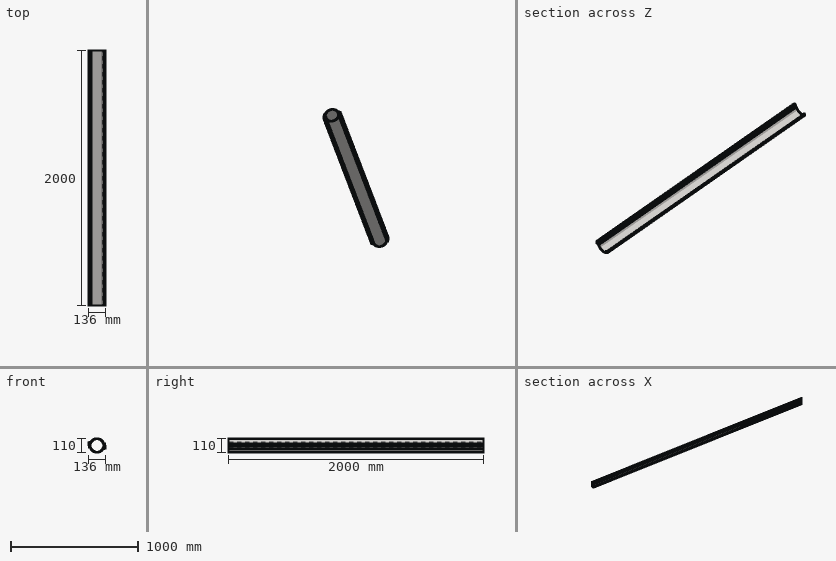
import cadquery as cq
import math

LENGTH = 2000.0
OUTER_RADIUS = 55.0
WALL = 4.0
INNER_RADIUS = OUTER_RADIUS - WALL
MIDDLE_RADIUS = OUTER_RADIUS - WALL / 2

HALF_WIDTH = 68.0

ROOF_SLOPE = 12.0
ROOF_OFFSET = 36.7
UNDERSIDE_OFFSET = ROOF_OFFSET - WALL
ROOF_ROOT_RADIUS = 3.5
SHOULDER_RADIUS = 7.0
HOOK_LIP_Z = 2.5

LEDGE_Z = 15.0
LEDGE_ROOT_RADIUS = 4.0
TONGUE_CORNER_RADIUS = 5.0
TONGUE_OUTER_X = HALF_WIDTH - WALL
TONGUE_INNER_X = TONGUE_OUTER_X - WALL
TONGUE_TIP_Z = -5.0

SEAM_INNER_ANGLE = 148.5


def polar(radius, angle):
    return (radius * math.cos(math.radians(angle)), radius * math.sin(math.radians(angle)))


def roof_line_angle(offset, radius):
    """Polar angle at which a line along the roof crosses a circle about the tube axis."""
    return 180 + ROOF_SLOPE - math.degrees(math.asin(offset / radius))


def roof_line_z(offset, x):
    """Height at x of a line along the roof that passes the tube axis at the given distance."""
    slope = math.radians(ROOF_SLOPE)
    return (offset + x * math.sin(slope)) / math.cos(slope)


SEAM_OUTER_ANGLE = roof_line_angle(UNDERSIDE_OFFSET, OUTER_RADIUS)


def extrude(outline):
    """Full-length solid, centred along Y, from an open outline."""
    return outline.close().extrude(LENGTH / 2, both=True)


def round_corner(body, corner, radius):
    """Round the lengthwise edge nearest to the corner (x, z)."""
    x, z = corner
    nearest = cq.selectors.NearestToPointSelector((x, 0, z))
    return body.edges("|Y").edges(nearest).fillet(radius)


def half_tube():
    """Half of the tube wall, from the +X seam over the top to the -X seam."""
    outer_end = SEAM_OUTER_ANGLE
    inner_end = SEAM_INNER_ANGLE
    outline = (
        cq.Workplane("XZ")
        .moveTo(*polar(OUTER_RADIUS, outer_end - 180))
        .threePointArc(polar(OUTER_RADIUS, outer_end - 90), polar(OUTER_RADIUS, outer_end))
        .lineTo(*polar(INNER_RADIUS, inner_end))
        .threePointArc(polar(INNER_RADIUS, inner_end - 90), polar(INNER_RADIUS, inner_end - 180))
    )
    return extrude(outline)


def hook():
    """Hook with its roof rooted in the tube wall."""
    leg_outer_x = -HALF_WIDTH
    leg_inner_x = leg_outer_x + WALL
    shoulder = (leg_outer_x, roof_line_z(ROOF_OFFSET, leg_outer_x))
    armpit = (leg_inner_x, roof_line_z(UNDERSIDE_OFFSET, leg_inner_x))
    outline = (
        cq.Workplane("XZ")
        .moveTo(*polar(MIDDLE_RADIUS, roof_line_angle(ROOF_OFFSET, MIDDLE_RADIUS)))
        .lineTo(*shoulder)
        .lineTo(leg_outer_x, HOOK_LIP_Z)
        .lineTo(leg_inner_x, HOOK_LIP_Z)
        .lineTo(*armpit)
        .lineTo(*polar(OUTER_RADIUS, SEAM_OUTER_ANGLE))
    )
    body = round_corner(extrude(outline), shoulder, SHOULDER_RADIUS)
    return round_corner(body, armpit, SHOULDER_RADIUS - WALL)


def tongue():
    """Tongue with its ledge rooted in the tube wall."""
    ledge_inner_z = LEDGE_Z - WALL
    root_x = math.sqrt(MIDDLE_RADIUS**2 - LEDGE_Z**2)
    outline = (
        cq.Workplane("XZ")
        .moveTo(root_x, LEDGE_Z)
        .lineTo(TONGUE_OUTER_X, LEDGE_Z)
        .lineTo(TONGUE_OUTER_X, TONGUE_TIP_Z)
        .lineTo(TONGUE_INNER_X, TONGUE_TIP_Z)
        .lineTo(TONGUE_INNER_X, ledge_inner_z)
        .lineTo(root_x, ledge_inner_z)
    )
    return round_corner(extrude(outline), (TONGUE_OUTER_X, LEDGE_Z), TONGUE_CORNER_RADIUS)


def shell():
    """Half tube with a hook on one side and a tongue on the other."""
    roof_root = polar(OUTER_RADIUS, roof_line_angle(ROOF_OFFSET, OUTER_RADIUS))
    ledge_root = (math.sqrt(OUTER_RADIUS**2 - LEDGE_Z**2), LEDGE_Z)
    body = half_tube().union(hook()).union(tongue())
    body = round_corner(body, roof_root, ROOF_ROOT_RADIUS)
    return round_corner(body, ledge_root, LEDGE_ROOT_RADIUS)


upper_shell = shell()
lower_shell = shell().rotate((0, 0, 0), (0, 1, 0), 180)

result = cq.Compound.makeCompound([upper_shell.val(), lower_shell.val()])